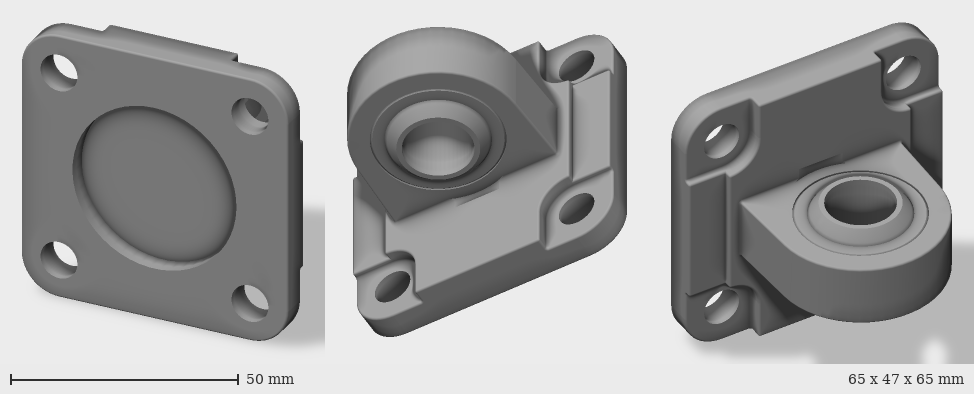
import cadquery as cq
import math

PLATE_SIZE = 65.0
PLATE_THICKNESS = 10.0
CORNER_RADIUS = 9.2
EDGE_ROUND = 0.5
SIDE_STRIP_HEIGHT = 8.1
POCKET_FLOOR = 6.5
POCKET_RADIUS = 7.55
SCREW_HOLE_DIAMETER = 9.0
SPIGOT_DIAMETER = 40.0
SPIGOT_DEPTH = 4.7

BORE_HEIGHT = 27.0
LUG_RADIUS = 20.0
LUG_WIDTH = 15.0
LUG_DRAFT = math.radians(1.9)
CLEARANCE_RADIUS = 17.9

RING_OUTER_RADIUS = 15.0
RING_CHAMFER = 0.5
BALL_RADIUS = 14.0
BALL_WIDTH = 21.0
BALL_BORE_DIAMETER = 16.0

half_plate = PLATE_SIZE / 2
half_lug = LUG_WIDTH / 2
half_ball = BALL_WIDTH / 2
screw_offset = half_plate - CORNER_RADIUS
pocket_wall = screw_offset - POCKET_RADIUS


def box(size_x, y_from, y_to, size_z, center_x=0, center_z=0):
    """Box centred on a point in X and Z, between two Y heights."""
    return (
        cq.Workplane("XY")
        .box(size_x, y_to - y_from, size_z)
        .translate((center_x, (y_from + y_to) / 2, center_z))
    )


def rod_y(radius, y_from, y_to, x=0, z=0):
    """Cylinder parallel to Y."""
    return cq.Workplane(cq.Solid.makeCylinder(
        radius, y_to - y_from, cq.Vector(x, y_from, z), cq.Vector(0, 1, 0)))


def rod_z(radius, z_from, z_to):
    """Cylinder on the bore axis."""
    return cq.Workplane(cq.Solid.makeCylinder(
        radius, z_to - z_from, cq.Vector(0, BORE_HEIGHT, z_from), cq.Vector(0, 0, 1)))


def corner_pocket(sign_x, sign_z):
    """Screw seat: round about the hole and open to both outer sides."""
    long_side = half_plate - pocket_wall
    short_side = half_plate - screw_offset
    long_center = pocket_wall + long_side / 2
    short_center = screw_offset + short_side / 2
    opening_x = box(short_side, POCKET_FLOOR, PLATE_THICKNESS, long_side,
                    sign_x * short_center, sign_z * long_center)
    opening_z = box(long_side, POCKET_FLOOR, PLATE_THICKNESS, short_side,
                    sign_x * long_center, sign_z * short_center)
    seat = rod_y(POCKET_RADIUS, POCKET_FLOOR, PLATE_THICKNESS,
                 sign_x * screw_offset, sign_z * screw_offset)
    return opening_x.union(opening_z).union(seat)


def cut_corner_pockets(body):
    """Cut the screw seats in all four corners."""
    for sign_x in (-1, 1):
        for sign_z in (-1, 1):
            body = body.cut(corner_pocket(sign_x, sign_z))
    return body


def round_pocketed_edges(body, side_x):
    """Round every lying edge, and the upright ones where a pocket wall meets an outer side."""
    lying = body.edges("not |Y").vals()
    upright = [
        edge for edge in body.edges("|Y").vals()
        if edge.Center().y > POCKET_FLOOR
        and (math.isclose(abs(edge.Center().x), side_x) or math.isclose(abs(edge.Center().z), half_plate))
    ]
    return body.newObject(lying + upright).fillet(EDGE_ROUND)


def make_base():
    """Rounded square slab as thick as the side strips."""
    base = box(PLATE_SIZE, 0, SIDE_STRIP_HEIGHT, PLATE_SIZE).edges("|Y").fillet(CORNER_RADIUS)
    return round_pocketed_edges(cut_corner_pockets(base), half_plate)


def make_raised_block():
    """Thickest part of the plate, between the side strips."""
    width = 2 * screw_offset
    seat_y = SIDE_STRIP_HEIGHT - EDGE_ROUND
    root_y = seat_y - EDGE_ROUND
    block = cut_corner_pockets(box(width, root_y, PLATE_THICKNESS, PLATE_SIZE))
    block = round_pocketed_edges(block, screw_offset)
    return block.intersect(box(width, seat_y, PLATE_THICKNESS, PLATE_SIZE))


def make_plate():
    """Complete flange plate, still without its holes."""
    return make_base().union(make_raised_block())


def make_lug():
    """Round-headed lug whose flanks run tangent from the head, spreading to the plate."""
    tangent_x = LUG_RADIUS * math.cos(LUG_DRAFT)
    tangent_y = BORE_HEIGHT + LUG_RADIUS * math.sin(LUG_DRAFT)
    foot_y = PLATE_THICKNESS - EDGE_ROUND
    foot_x = tangent_x + (tangent_y - foot_y) * math.tan(LUG_DRAFT)
    lug = (
        cq.Workplane("XY")
        .workplane(offset=-half_lug)
        .moveTo(-foot_x, foot_y)
        .lineTo(-tangent_x, tangent_y)
        .threePointArc((0, BORE_HEIGHT + LUG_RADIUS), (tangent_x, tangent_y))
        .lineTo(foot_x, foot_y)
        .close()
        .extrude(LUG_WIDTH)
    )
    return lug.faces("<Z or >Z").edges("not <Y").fillet(EDGE_ROUND)


def round_lug_foot(body):
    """Concave rounding where the lug meets the plate."""
    reach_x = screw_offset - 2 * EDGE_ROUND
    reach_y = EDGE_ROUND / 10
    reach_z = half_lug + EDGE_ROUND
    foot = cq.selectors.BoxSelector(
        (-reach_x, PLATE_THICKNESS - reach_y, -reach_z),
        (reach_x, PLATE_THICKNESS + reach_y, reach_z))
    return body.edges(foot).fillet(EDGE_ROUND)


def make_housing():
    """Flange plate and lug in one piece, with the bearing seat and the mounting holes."""
    housing = round_lug_foot(make_plate().union(make_lug()))
    housing = housing.cut(rod_z(CLEARANCE_RADIUS, half_lug, half_ball))
    housing = housing.cut(rod_z(CLEARANCE_RADIUS, -half_ball, -half_lug))
    housing = housing.cut(rod_z(RING_OUTER_RADIUS, -half_lug, half_lug))
    housing = housing.cut(rod_y(SPIGOT_DIAMETER / 2, 0, SPIGOT_DEPTH))
    for x in (-screw_offset, screw_offset):
        for z in (-screw_offset, screw_offset):
            housing = housing.cut(rod_y(SCREW_HOLE_DIAMETER / 2, 0, PLATE_THICKNESS, x, z))
    return housing


def make_sphere():
    """Full sphere shared by the ball and its seat in the ring."""
    return cq.Workplane("XY").sphere(BALL_RADIUS).translate((0, BORE_HEIGHT, 0))


def make_outer_ring():
    """Bearing ring, flush with the lug faces, with a spherical seat."""
    blank = rod_z(RING_OUTER_RADIUS, -half_lug, half_lug).edges().chamfer(RING_CHAMFER)
    return blank.cut(make_sphere())


def make_ball():
    """Truncated ball with a through bore."""
    ball = make_sphere().intersect(rod_z(BALL_RADIUS, -half_ball, half_ball))
    return ball.cut(rod_z(BALL_BORE_DIAMETER / 2, -half_ball, half_ball))


housing = make_housing()
outer_ring = make_outer_ring()
ball = make_ball()

result = cq.Compound.makeCompound([housing.val(), outer_ring.val(), ball.val()])